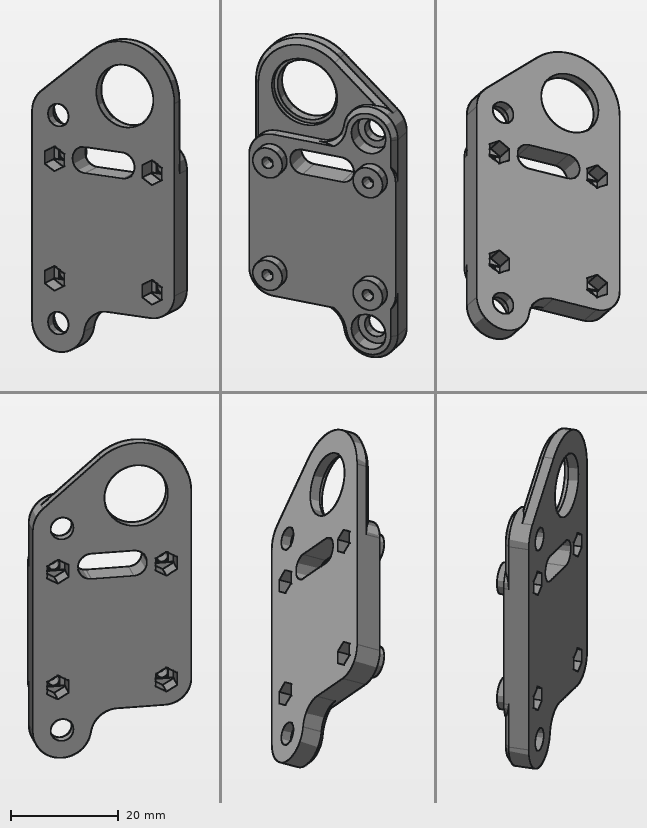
import cadquery as cq
import math

WIDTH = 30.0
HEIGHT = 61.5
BODY_DEPTH = 5.0
HEAD_DEPTH = 3.0
BACK_CHAMFER = 1.0
CORNER_R = 5.0
BORE_START = 2.0

LOBE_R = 5.55
LOBE_SPACING = 40.0
LOBE_X = LOBE_R
LOBE_LOW_Z = LOBE_R
LOBE_HIGH_Z = LOBE_LOW_Z + LOBE_SPACING
LOBE_HOLE_D = 4.3
LOBE_BORE_D = 7.0

HEAD_R = 10.45
HEAD_X = WIDTH - HEAD_R
HEAD_Z = HEIGHT - HEAD_R
HEAD_HOLE_D = 12.0
HEAD_BORE_D = 13.4

BLOCK_HEIGHT = 33.0
MID_X = WIDTH / 2
MID_Z = (LOBE_LOW_Z + LOBE_HIGH_Z) / 2
BLOCK_LOW_Z = MID_Z - BLOCK_HEIGHT / 2

SLOT_LENGTH = 13.05
SLOT_WIDTH = 5.0
SLOT_X = 15.05
SLOT_Z = 37.6

STANDOFF_D = 6.0
STANDOFF_HEIGHT = 2.0
STANDOFF_END = BODY_DEPTH + STANDOFF_HEIGHT
STANDOFF_SPACING_X = 20.55
STANDOFF_SPACING_Z = 23.0
SCREW_D = 2.2
NUT_FLATS = 4.1
NUT_DEPTH = 3.5
BRIDGE_STEP = 0.3


def section_at(y):
    """Sketch plane at Y = y, with local axes X and Z; a negative extrusion goes towards +Y."""
    return cq.Workplane("XZ", origin=(0, y, 0))


def cylinder(x, z, diameter, start, end):
    """Cylinder along Y between two Y positions."""
    return section_at(start).center(x, z).circle(diameter / 2).extrude(start - end)


def front_box(x, z, size_x, size_z, depth):
    """Box centred on (x, z), reaching from the front to Y = depth."""
    return section_at(0).center(x, z).rect(size_x, size_z).extrude(-depth)


def on_circle(x, z, radius, angle):
    """Point on a circle about (x, z), at an angle in radians from +X."""
    return (x + radius * math.cos(angle), z + radius * math.sin(angle))


def mirrored(point):
    """Point reflected about the mid-height of the lobes."""
    return (point[0], 2 * MID_Z - point[1])


def block():
    """Rounded rectangle without a chamfer."""
    return front_box(MID_X, MID_Z, WIDTH, BLOCK_HEIGHT, BODY_DEPTH).edges("|Y").fillet(CORNER_R)


def lobe_plate():
    """Both lobes, blended into the block edges by concave arcs, with a chamfered back edge."""
    neck_z = BLOCK_LOW_Z - CORNER_R
    neck_dz = neck_z - LOBE_LOW_Z
    neck_dx = math.sqrt((LOBE_R + CORNER_R) ** 2 - neck_dz ** 2)
    neck_x = LOBE_X + neck_dx
    towards_lobe = math.atan2(-neck_dz, -neck_dx)
    neck_start = on_circle(neck_x, neck_z, CORNER_R, towards_lobe)
    neck_middle = on_circle(neck_x, neck_z, CORNER_R, (towards_lobe + math.pi / 2) / 2)
    neck_end = (neck_x, BLOCK_LOW_Z)
    lobe_bottom = (LOBE_X, LOBE_LOW_Z - LOBE_R)

    plate = (
        section_at(0)
        .moveTo(0, LOBE_HIGH_Z)
        .lineTo(0, LOBE_LOW_Z)
        .threePointArc(lobe_bottom, neck_start)
        .threePointArc(neck_middle, neck_end)
        .lineTo(*mirrored(neck_end))
        .threePointArc(mirrored(neck_middle), mirrored(neck_start))
        .threePointArc(mirrored(lobe_bottom), (0, LOBE_HIGH_Z))
        .close()
        .extrude(-BODY_DEPTH)
    )
    return plate.faces(">Y").edges("not(>X)").chamfer(BACK_CHAMFER)


def head_plate():
    """Thin head joined to the upper lobe by a common tangent, with a chamfered back edge."""
    dx = HEAD_X - LOBE_X
    dz = HEAD_Z - LOBE_HIGH_Z
    normal = math.atan2(dz, dx) + math.acos((LOBE_R - HEAD_R) / math.hypot(dx, dz))
    lobe_middle = on_circle(LOBE_X, LOBE_HIGH_Z, LOBE_R, (normal + math.pi) / 2)

    plate = (
        section_at(0)
        .moveTo(0, MID_Z)
        .lineTo(WIDTH, MID_Z)
        .lineTo(WIDTH, HEAD_Z)
        .threePointArc((HEAD_X, HEIGHT), on_circle(HEAD_X, HEAD_Z, HEAD_R, normal))
        .lineTo(*on_circle(LOBE_X, LOBE_HIGH_Z, LOBE_R, normal))
        .threePointArc(lobe_middle, (0, LOBE_HIGH_Z))
        .close()
        .extrude(-HEAD_DEPTH)
    )
    return plate.faces(">Y").edges().chamfer(BACK_CHAMFER)


def counterbored_hole(x, z, hole_d, bore_d):
    """Through hole with a wider bore opening to the back."""
    return cylinder(x, z, hole_d, 0, BODY_DEPTH).union(cylinder(x, z, bore_d, BORE_START, BODY_DEPTH))


def nut_pocket(x, z):
    """Hex pocket stepping down to the screw hole through a slot and then a square."""
    hexagon = section_at(0).center(x, z).polygon(6, NUT_FLATS, circumscribed=True).extrude(-NUT_DEPTH)
    slot_step = front_box(x, z, NUT_FLATS, SCREW_D, NUT_DEPTH + BRIDGE_STEP)
    square_step = front_box(x, z, SCREW_D, SCREW_D, NUT_DEPTH + 2 * BRIDGE_STEP)
    screw_hole = cylinder(x, z, SCREW_D, 0, STANDOFF_END)
    return hexagon.union(slot_step).union(square_step).union(screw_hole)


def cable_slot():
    return section_at(0).center(SLOT_X, SLOT_Z).slot2D(SLOT_LENGTH, SLOT_WIDTH).extrude(-BODY_DEPTH)


result = block().union(lobe_plate()).union(head_plate())

for side in (-1, 1):
    for end in (-1, 1):
        standoff_x = MID_X + side * STANDOFF_SPACING_X / 2
        standoff_z = MID_Z + end * STANDOFF_SPACING_Z / 2
        result = result.union(cylinder(standoff_x, standoff_z, STANDOFF_D, 0, STANDOFF_END))
        result = result.cut(nut_pocket(standoff_x, standoff_z))

for lobe_z in (LOBE_LOW_Z, LOBE_HIGH_Z):
    result = result.cut(counterbored_hole(LOBE_X, lobe_z, LOBE_HOLE_D, LOBE_BORE_D))

result = result.cut(counterbored_hole(HEAD_X, HEAD_Z, HEAD_HOLE_D, HEAD_BORE_D))
result = result.cut(cable_slot())